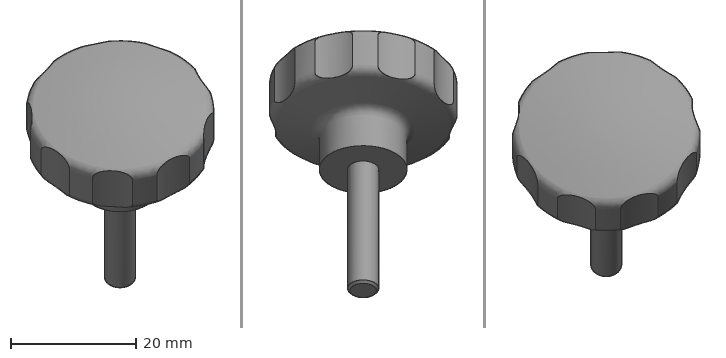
import cadquery as cq
import math

head_radius = 15.0
hub_radius = 7.0
stud_radius = 2.5
stud_length = 23.0
stud_chamfer = 0.4

neck_height = 7.0
rim_bottom = 9.0
rim_top = 17.0
dome_top = 19.0
edge_radius = 1.5

grip_count = 9
grip_radius = 10.0
grip_half_angle = 12.25
first_grip_angle = -90.0


def dome_height(radius):
    """Height of the spherical dome at a distance from the axis."""
    drop = dome_top - rim_top
    sphere_radius = (head_radius**2 + drop**2) / (2 * drop)
    return dome_top - sphere_radius + math.sqrt(sphere_radius**2 - radius**2)


def circle_edges(radius, height):
    """Selector box around the circular edge of a given radius and height."""
    margin = 0.1
    reach = radius + margin
    return cq.selectors.BoxSelector(
        (-reach, -reach, height - margin),
        (reach, reach, height + margin),
        boundingbox=True,
    )


def make_head():
    """Domed head with a conical underside and a hub, all edges rounded."""
    mid_radius = head_radius / 2
    head = (
        cq.Workplane("XZ")
        .lineTo(hub_radius, 0)
        .lineTo(hub_radius, neck_height)
        .lineTo(head_radius, rim_bottom)
        .lineTo(head_radius, rim_top)
        .threePointArc((mid_radius, dome_height(mid_radius)), (0, dome_top))
        .close()
        .revolve(360, (0, 0, 0), (0, 1, 0))
    )
    for radius, height in (
        (hub_radius, neck_height),
        (head_radius, rim_bottom),
        (head_radius, rim_top),
    ):
        head = head.edges(circle_edges(radius, height)).fillet(edge_radius)
    return head


def make_grips():
    """Ring of upright cylinders that scoop the finger grips out of the rim."""
    half_angle = math.radians(grip_half_angle)
    half_width = head_radius * math.sin(half_angle)
    center_distance = head_radius * math.cos(half_angle) + math.sqrt(grip_radius**2 - half_width**2)
    return (
        cq.Workplane("XY")
        .polarArray(center_distance, first_grip_angle, 360, grip_count)
        .circle(grip_radius)
        .extrude(dome_top)
    )


def make_stud():
    """Plain stud below the hub with a chamfered tip."""
    return (
        cq.Workplane("XY")
        .circle(stud_radius)
        .extrude(-stud_length)
        .faces("<Z")
        .chamfer(stud_chamfer)
    )


def cut_grips(head):
    """Remove the grips one at a time, since neighbouring cylinders overlap."""
    for grip in make_grips().solids().vals():
        head = head.cut(cq.Workplane(grip))
    return head


result = cut_grips(make_head()).union(make_stud())